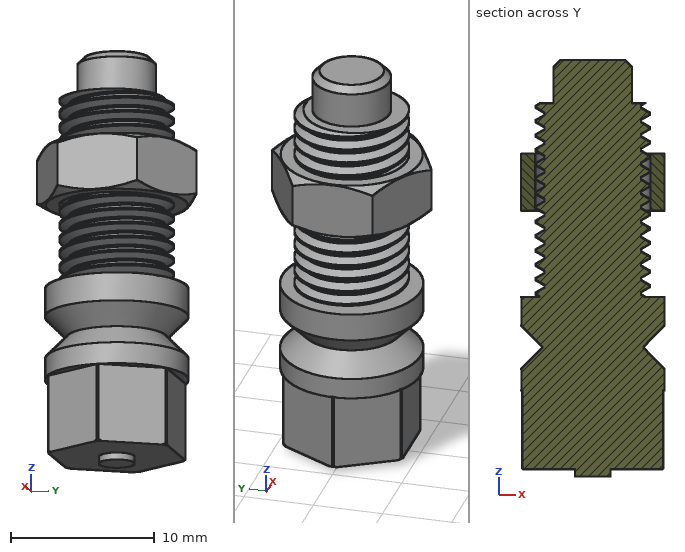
import cadquery as cq
import math

overall_length = 29.0

lower_pin_diameter = 2.5
lower_pin_length = 0.5
upper_pin_diameter = 5.5
upper_pin_length = 3.0
upper_pin_chamfer = 0.5

foot_across_flats = 8.6
foot_corner_diameter = 9.85
foot_height = 5.5
foot_chamfer = 0.1

collar_diameter = 10.0
lower_rim_height = 1.5
groove_height = 3.0
groove_neck_diameter = 7.04
upper_rim_height = 2.0

thread_diameter = 8.0
thread_root_diameter = 6.74
thread_pitch = 1.0
thread_crest_width = thread_pitch / 8
thread_flank_angle = 30.0

nut_across_flats = 10.0
nut_height = 4.0
nut_gap_above_collar = 6.0
nut_face_diameter = 9.9
nut_chamfer_angle = 30.0

foot_bottom = lower_pin_length
foot_top = foot_bottom + foot_height
groove_bottom = foot_top + lower_rim_height
groove_middle = groove_bottom + groove_height / 2
groove_top = groove_bottom + groove_height
collar_top = groove_top + upper_rim_height
thread_top = overall_length - upper_pin_length
thread_length = thread_top - collar_top
nut_bottom = collar_top + nut_gap_above_collar


def across_corners(across_flats):
    """Corner-to-corner diameter of a regular hexagon."""
    return across_flats / math.cos(math.radians(30))


def cylinder(diameter, bottom, height):
    return cq.Workplane("XY").workplane(offset=bottom).circle(diameter / 2).extrude(height)


def make_foot():
    """Hexagon with two corners on X, trimmed and chamfered at the bottom of its corners."""
    hexagon = (
        cq.Workplane("XY")
        .workplane(offset=foot_bottom)
        .polygon(6, across_corners(foot_across_flats))
        .extrude(foot_height)
    )
    corner_trim = cylinder(foot_corner_diameter, foot_bottom, foot_height)
    return hexagon.intersect(corner_trim.faces("<Z").chamfer(foot_chamfer))


def make_collar():
    """Two rims with a V groove between them."""
    rim_radius = collar_diameter / 2
    profile = [
        (0, foot_top),
        (rim_radius, foot_top),
        (rim_radius, groove_bottom),
        (groove_neck_diameter / 2, groove_middle),
        (rim_radius, groove_top),
        (rim_radius, collar_top),
        (0, collar_top),
    ]
    return cq.Workplane("XZ").polyline(profile).close().revolve(360, (0, 0), (0, 1))


def make_threaded_stud():
    """Thread cut on an over-long blank, then trimmed to length so that both ends are clean."""
    crest_radius = thread_diameter / 2
    root_radius = thread_root_diameter / 2
    slope = math.tan(math.radians(thread_flank_angle))
    root_half_width = (thread_pitch - thread_crest_width) / 2 - (crest_radius - root_radius) * slope

    cutter_radius = crest_radius + thread_crest_width / 4
    cutter_half_width = root_half_width + (cutter_radius - root_radius) * slope

    start_level = -thread_pitch
    cutter_length = thread_length + 2 * thread_pitch
    path = cq.Wire.makeHelix(thread_pitch, cutter_length, root_radius, cq.Vector(0, 0, start_level))
    groove = (
        cq.Workplane("XZ")
        .polyline([
            (root_radius, start_level - root_half_width),
            (cutter_radius, start_level - cutter_half_width),
            (cutter_radius, start_level + cutter_half_width),
            (root_radius, start_level + root_half_width),
        ])
        .close()
        .sweep(cq.Workplane(path), isFrenet=True)
    )
    groove = groove.rotate((0, 0, 0), (0, 0, 1), -90)
    blank_overhang = 3 * thread_pitch
    blank = cylinder(thread_diameter, -blank_overhang, thread_length + 2 * blank_overhang)
    trim = cylinder(2 * thread_diameter, 0, thread_length)
    stud = blank.cut(groove).intersect(trim)
    return stud.translate((0, 0, collar_top))


def make_body():
    """Foot, collar, threaded stud and the two pin ends as one solid."""
    lower_pin = cylinder(lower_pin_diameter, 0, lower_pin_length)
    upper_pin = cylinder(upper_pin_diameter, thread_top, upper_pin_length)
    upper_pin = upper_pin.faces(">Z").chamfer(upper_pin_chamfer)
    return (
        make_collar()
        .union(make_foot())
        .union(make_threaded_stud())
        .union(lower_pin)
        .union(upper_pin)
    )


def make_nut():
    """Hexagon nut with two corners on Y, conical corner chamfers and a bore on the thread crests."""
    corner_diameter = across_corners(nut_across_flats)
    corner_radius = corner_diameter / 2
    face_radius = nut_face_diameter / 2
    chamfer_drop = (corner_radius - face_radius) * math.tan(math.radians(nut_chamfer_angle))
    hexagon = (
        cq.Workplane("XY")
        .polygon(6, corner_diameter)
        .extrude(nut_height)
        .rotate((0, 0, 0), (0, 0, 1), 90)
    )
    chamfer_profile = [
        (0, 0),
        (face_radius, 0),
        (corner_radius, chamfer_drop),
        (corner_radius, nut_height - chamfer_drop),
        (face_radius, nut_height),
        (0, nut_height),
    ]
    chamfer_form = cq.Workplane("XZ").polyline(chamfer_profile).close().revolve(360, (0, 0), (0, 1))
    nut = hexagon.intersect(chamfer_form).cut(cylinder(thread_diameter, 0, nut_height))
    return nut.translate((0, 0, nut_bottom))


body = make_body()
nut = make_nut()

result = cq.Compound.makeCompound([body.solids().val(), nut.solids().val()])